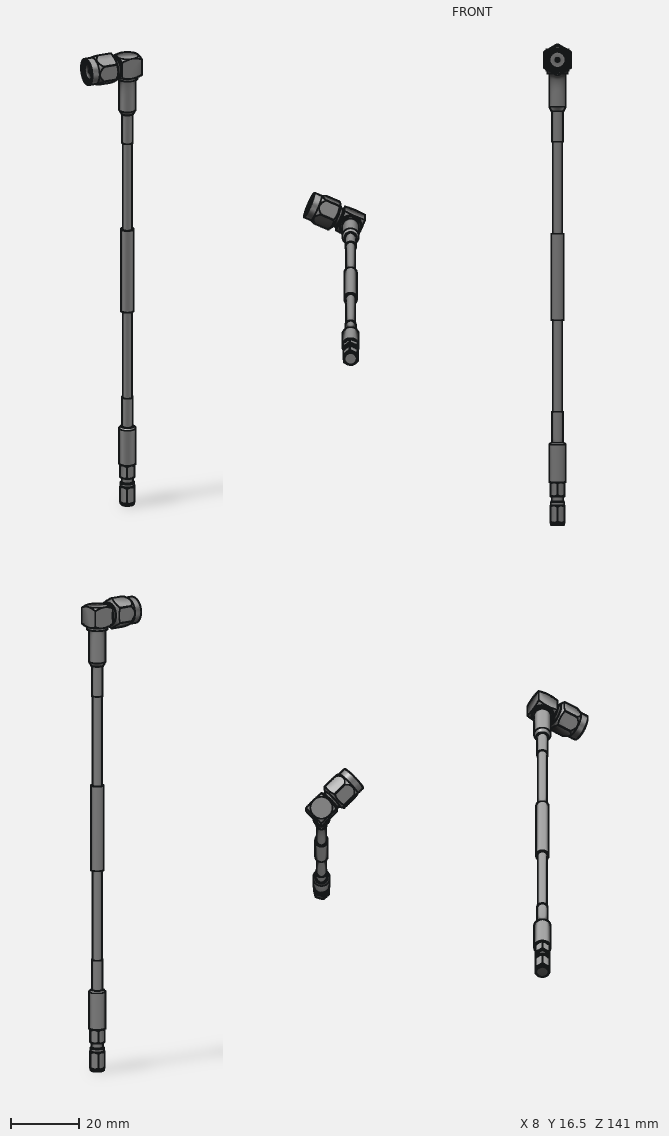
import cadquery as cq
import math

OVERALL_HEIGHT = 141.0

CABLE_DIAMETER = 2.8
SLEEVE_DIAMETER = 3.2
SLEEVE_LENGTH = 9.0
MARKER_DIAMETER = 3.8
MARKER_LENGTH = 25.4
FERRULE_DIAMETER = 5.0

NUT_ACROSS_FLATS = 8.0
NUT_CORNER_DIAMETER = 9.2
NUT_AXIS_Z = OVERALL_HEIGHT - NUT_CORNER_DIAMETER / 2
NUT_BACK_DIAMETER = 6.5
NUT_BACK_CHAMFER = 0.8
NUT_FRONT_CHAMFER = 1.4
NUT_HEX_LENGTH = 6.5
NUT_RIM_DIAMETER = 7.9
NUT_RIM_LENGTH = 2.3
NUT_BORE_DIAMETER = 6.3
NUT_BORE_DEPTH = 5.6
NUT_MOUTH_CHAMFER = 0.3
SHIELD_DIAMETER = 5.5
DIELECTRIC_DIAMETER = 4.7
DIELECTRIC_RECESS = 1.4
SHIELD_SETBACK = 0.5
PIN_DIAMETER = 1.3
PIN_LENGTH = 1.1
PIN_TIP_CHAMFER = 0.3
BLOCK_WIDTH = 6.5
BLOCK_TOP_Z = 139.4
BLOCK_HEIGHT = 6.2
BLOCK_CONE_DROP = 0.7
FLANGE_DIAMETER = 6.0
FLANGE_LENGTH = 0.4
NECK_DIAMETER = 5.8
NECK_LENGTH = 0.8
COLLAR_DIAMETER = 6.0
COLLAR_LENGTH = 0.8
ANGLED_FERRULE_LENGTH = 9.7
FERRULE_TAPER_LENGTH = 1.3
FERRULE_MOUTH_DIAMETER = 3.5

STRAIGHT_ACROSS_FLATS = 4.2
STRAIGHT_CORNER_DIAMETER = 4.8
STRAIGHT_HEX_CHAMFER = 0.4
STRAIGHT_HEX_END_DIAMETER = 4.0
STRAIGHT_TIP_LENGTH = 0.7
COUPLING_HEX_LENGTH = 5.2
COUPLING_RIM_DIAMETER = 4.1
COUPLING_RIM_LENGTH = 1.1
RIM_CHAMFER = 0.3
GROOVE_DIAMETER = 3.4
GROOVE_LENGTH = 1.4
BODY_HEX_LENGTH = 4.2
STRAIGHT_FERRULE_LENGTH = 11.5
STRAIGHT_FERRULE_CHAMFER = 0.5

COLLAR_TOP_Z = BLOCK_TOP_Z - BLOCK_HEIGHT
ANGLED_FERRULE_TOP_Z = COLLAR_TOP_Z - COLLAR_LENGTH
CABLE_TOP_Z = ANGLED_FERRULE_TOP_Z - ANGLED_FERRULE_LENGTH - FERRULE_TAPER_LENGTH
COUPLING_HEX_Z = STRAIGHT_TIP_LENGTH
COUPLING_RIM_Z = COUPLING_HEX_Z + COUPLING_HEX_LENGTH
GROOVE_Z = COUPLING_RIM_Z + COUPLING_RIM_LENGTH
BODY_HEX_Z = GROOVE_Z + GROOVE_LENGTH
STRAIGHT_FERRULE_Z = BODY_HEX_Z + BODY_HEX_LENGTH
CABLE_BOTTOM_Z = STRAIGHT_FERRULE_Z + STRAIGHT_FERRULE_LENGTH
CABLE_MIDDLE_Z = (CABLE_TOP_Z + CABLE_BOTTOM_Z) / 2

BLOCK_FRONT_Y = -BLOCK_WIDTH / 2
FLANGE_FRONT_Y = BLOCK_FRONT_Y - FLANGE_LENGTH
NUT_BACK_Y = FLANGE_FRONT_Y - NECK_LENGTH
RIM_BACK_Y = NUT_BACK_Y - NUT_HEX_LENGTH
RIM_FRONT_Y = RIM_BACK_Y - NUT_RIM_LENGTH


def upright_cylinder(diameter, bottom, length):
    """Cylinder on the cable axis, rising from the level `bottom`."""
    return cq.Workplane("XY", origin=(0, 0, bottom)).circle(diameter / 2).extrude(length)


def forward_cylinder(diameter, back, length):
    """Cylinder on the nut axis, running toward -Y from `back`."""
    return cq.Workplane("XZ", origin=(0, back, NUT_AXIS_Z)).circle(diameter / 2).extrude(length)


def upright_frustum(bottom_diameter, top_diameter, bottom, length):
    """Cone frustum on the cable axis."""
    cone = cq.Solid.makeCone(bottom_diameter / 2, top_diameter / 2, length, cq.Vector(0, 0, bottom))
    return cq.Workplane(obj=cone)


def chamfered_envelope(diameter, length, start_diameter, start_chamfer, end_diameter, end_chamfer):
    """Round blank along Z from 0 to `length`, with a conical end at each side."""
    return (
        cq.Workplane("XZ")
        .moveTo(0, 0)
        .lineTo(start_diameter / 2, 0)
        .lineTo(diameter / 2, start_chamfer)
        .lineTo(diameter / 2, length - end_chamfer)
        .lineTo(end_diameter / 2, length)
        .lineTo(0, length)
        .close()
        .revolve(360, (0, 0, 0), (0, 1, 0))
    )


def hex_prism(across_flats, length):
    """Hexagon along Z from 0 to `length`, with corners on the Y axis."""
    corner_diameter = across_flats / math.cos(math.radians(30))
    return cq.Workplane("XY").transformed(rotate=(0, 0, 90)).polygon(6, corner_diameter).extrude(length)


def make_coupling_nut():
    """Hex nut with conical ends and a round rim, open to -Y around the shield and pin."""
    envelope = chamfered_envelope(
        NUT_CORNER_DIAMETER, NUT_HEX_LENGTH,
        NUT_BACK_DIAMETER, NUT_BACK_CHAMFER,
        NUT_RIM_DIAMETER, NUT_FRONT_CHAMFER,
    )
    nut = (
        hex_prism(NUT_ACROSS_FLATS, NUT_HEX_LENGTH)
        .intersect(envelope)
        .rotate((0, 0, 0), (1, 0, 0), 90)
        .translate((0, NUT_BACK_Y, NUT_AXIS_Z))
    )
    nut = nut.union(forward_cylinder(NUT_RIM_DIAMETER, RIM_BACK_Y, NUT_RIM_LENGTH))
    bore_floor_y = RIM_FRONT_Y + NUT_BORE_DEPTH
    shield_length = NUT_BORE_DEPTH - SHIELD_SETBACK
    dielectric_y = bore_floor_y - shield_length + DIELECTRIC_RECESS
    nut = nut.cut(forward_cylinder(NUT_BORE_DIAMETER, bore_floor_y, NUT_BORE_DEPTH))
    nut = nut.faces("<Y").edges(cq.selectors.RadiusNthSelector(0)).chamfer(NUT_MOUTH_CHAMFER)
    nut = nut.union(forward_cylinder(SHIELD_DIAMETER, bore_floor_y, shield_length))
    nut = nut.cut(forward_cylinder(DIELECTRIC_DIAMETER, dielectric_y, DIELECTRIC_RECESS))
    pin = forward_cylinder(PIN_DIAMETER, dielectric_y, PIN_LENGTH).faces("<Y").chamfer(PIN_TIP_CHAMFER)
    return nut.union(pin)


def make_elbow_block():
    """Square block whose four corners are cut conically at the top and bottom."""
    diagonal = BLOCK_WIDTH * math.sqrt(2)
    envelope = chamfered_envelope(
        diagonal, BLOCK_HEIGHT,
        BLOCK_WIDTH, BLOCK_CONE_DROP,
        BLOCK_WIDTH, BLOCK_CONE_DROP,
    )
    block = cq.Workplane("XY").rect(BLOCK_WIDTH, BLOCK_WIDTH).extrude(BLOCK_HEIGHT)
    return block.intersect(envelope).translate((0, 0, COLLAR_TOP_Z))


def make_angled_connector():
    """Elbow block with its nut, its neck and the ferrule above the upper sleeve."""
    ferrule_bottom_z = ANGLED_FERRULE_TOP_Z - ANGLED_FERRULE_LENGTH
    connector = make_elbow_block()
    connector = connector.union(forward_cylinder(FLANGE_DIAMETER, BLOCK_FRONT_Y, FLANGE_LENGTH))
    connector = connector.union(forward_cylinder(NECK_DIAMETER, FLANGE_FRONT_Y, NECK_LENGTH))
    connector = connector.union(make_coupling_nut())
    connector = connector.union(upright_cylinder(COLLAR_DIAMETER, ANGLED_FERRULE_TOP_Z, COLLAR_LENGTH))
    connector = connector.union(
        upright_cylinder(FERRULE_DIAMETER, ferrule_bottom_z, ANGLED_FERRULE_LENGTH)
    )
    return connector.union(
        upright_frustum(FERRULE_MOUTH_DIAMETER, FERRULE_DIAMETER, CABLE_TOP_Z, FERRULE_TAPER_LENGTH)
    )


def make_chamfered_hex(bottom, length):
    """Hexagon of the straight connector, with both ends chamfered to a circle."""
    envelope = chamfered_envelope(
        STRAIGHT_CORNER_DIAMETER, length,
        STRAIGHT_HEX_END_DIAMETER, STRAIGHT_HEX_CHAMFER,
        STRAIGHT_HEX_END_DIAMETER, STRAIGHT_HEX_CHAMFER,
    )
    return hex_prism(STRAIGHT_ACROSS_FLATS, length).intersect(envelope).translate((0, 0, bottom))


def make_straight_connector():
    """Coupling hex, groove, body hex and ferrule, stacked from the lower end up."""
    ferrule = upright_cylinder(FERRULE_DIAMETER, STRAIGHT_FERRULE_Z, STRAIGHT_FERRULE_LENGTH)
    connector = ferrule.faces(">Z").chamfer(STRAIGHT_FERRULE_CHAMFER)
    connector = connector.union(make_chamfered_hex(BODY_HEX_Z, BODY_HEX_LENGTH))
    connector = connector.union(upright_cylinder(GROOVE_DIAMETER, GROOVE_Z, GROOVE_LENGTH))
    rim = upright_cylinder(COUPLING_RIM_DIAMETER, COUPLING_RIM_Z, COUPLING_RIM_LENGTH)
    connector = connector.union(rim.faces(">Z").chamfer(RIM_CHAMFER))
    connector = connector.union(make_chamfered_hex(COUPLING_HEX_Z, COUPLING_HEX_LENGTH))
    tip = upright_cylinder(COUPLING_RIM_DIAMETER, 0, STRAIGHT_TIP_LENGTH)
    return connector.union(tip.faces("<Z").chamfer(RIM_CHAMFER))


def make_tube(diameter, bottom, length):
    """Tube that fits closely around the cable."""
    tube = upright_cylinder(diameter, bottom, length)
    return tube.cut(upright_cylinder(CABLE_DIAMETER, bottom, length))


angled_connector = make_angled_connector()
straight_connector = make_straight_connector()

cable = upright_cylinder(CABLE_DIAMETER, CABLE_BOTTOM_Z, CABLE_TOP_Z - CABLE_BOTTOM_Z)

marker = make_tube(MARKER_DIAMETER, CABLE_MIDDLE_Z - MARKER_LENGTH / 2, MARKER_LENGTH)

sleeves = []
for sleeve_bottom_z in (CABLE_BOTTOM_Z, CABLE_TOP_Z - SLEEVE_LENGTH):
    sleeve = make_tube(SLEEVE_DIAMETER, sleeve_bottom_z, SLEEVE_LENGTH)
    sleeves.append(sleeve.val())

result = cq.Compound.makeCompound(
    [angled_connector.val(), straight_connector.val(), cable.val(), marker.val(), *sleeves]
)